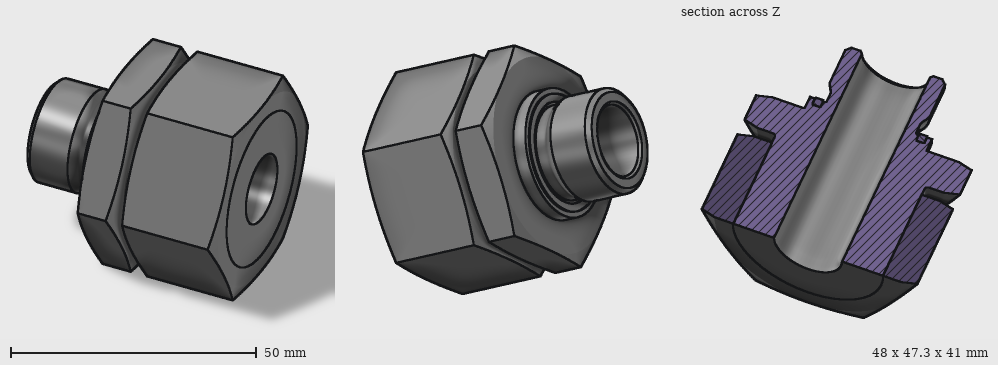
import cadquery as cq
import math

OVERALL_LENGTH = 48.0
ACROSS_FLATS = 41.0
HEX_CHAMFER_ANGLE = math.radians(15)
HEX_CORNER_RADIUS = ACROSS_FLATS / math.sqrt(3)
CONE_CLEARANCE = 0.5

BORE_RADIUS = 7.45
BORE_MOUTH_RADIUS = 8.0

STUD_RADIUS = 11.0
STUD_CHAMFER = 1.0
STUD_LENGTH = 9.5
RELIEF_RADIUS = 9.9
RELIEF_TAPER_ANGLE = math.radians(30)
RELIEF_BLEND_RADIUS = 0.95

COLLAR_RADIUS = 13.45
COLLAR_START = 14.0
HEX_START = 17.0
HEX_END = 25.0
NECK_RADIUS = 16.5
NECK_BLEND_RADIUS = 0.6

SEAT_RADIUS = 10.55
SEAT_CONE_START = 13.9
SEAT_CONE_LENGTH = 0.35

SEAL_OUTER_RADIUS = 12.25
SEAL_DEPTH = 1.5
SEAL_PROTRUSION = 0.3

NUT_START = 27.0


def cylinder_along_x(start, end, radius):
    """Plain cylinder between two X positions."""
    return cq.Workplane("YZ", origin=(start, 0, 0)).circle(radius).extrude(end - start)


def ring_along_x(start, end, outer_radius, inner_radius):
    """Plain ring between two X positions."""
    return cylinder_along_x(start, end, outer_radius).cut(cylinder_along_x(start, end, inner_radius))


def chamfered_hexagon(start, end):
    """Hexagon with corners on +Y and -Y, its corners coned off at both ends."""
    prism = (
        cq.Workplane("YZ", origin=(start, 0, 0))
        .polygon(6, 2 * HEX_CORNER_RADIUS)
        .extrude(end - start)
    )
    face_radius = ACROSS_FLATS / 2
    cone_radius = HEX_CORNER_RADIUS + CONE_CLEARANCE
    cone_length = (cone_radius - face_radius) * math.tan(HEX_CHAMFER_ANGLE)
    envelope = (
        cq.Workplane("XY")
        .moveTo(start, 0)
        .lineTo(start, face_radius)
        .lineTo(start + cone_length, cone_radius)
        .lineTo(end - cone_length, cone_radius)
        .lineTo(end, face_radius)
        .lineTo(end, 0)
        .close()
        .revolve(360, (0, 0, 0), (1, 0, 0))
    )
    return prism.intersect(envelope)


def make_stud():
    """Chamfered stud, its tapered relief and the seal seat, as far as the hexagon."""
    taper_length = (STUD_RADIUS - RELIEF_RADIUS) / math.tan(RELIEF_TAPER_ANGLE)
    relief_corner = STUD_LENGTH + taper_length
    tangent_length = RELIEF_BLEND_RADIUS * math.tan(RELIEF_TAPER_ANGLE / 2)
    blend_start_x = relief_corner - tangent_length * math.cos(RELIEF_TAPER_ANGLE)
    blend_start_radius = RELIEF_RADIUS + tangent_length * math.sin(RELIEF_TAPER_ANGLE)
    blend_end_x = relief_corner + tangent_length
    return (
        cq.Workplane("XY")
        .lineTo(0, STUD_RADIUS - STUD_CHAMFER)
        .lineTo(STUD_CHAMFER, STUD_RADIUS)
        .lineTo(STUD_LENGTH, STUD_RADIUS)
        .lineTo(blend_start_x, blend_start_radius)
        .radiusArc((blend_end_x, RELIEF_RADIUS), -RELIEF_BLEND_RADIUS)
        .lineTo(SEAT_CONE_START, RELIEF_RADIUS)
        .lineTo(SEAT_CONE_START + SEAT_CONE_LENGTH, SEAT_RADIUS)
        .lineTo(HEX_START, SEAT_RADIUS)
        .lineTo(HEX_START, 0)
        .close()
        .revolve(360, (0, 0, 0), (1, 0, 0))
    )


def make_collar():
    """Collar in front of the hexagon, with a groove in its face for the seal ring."""
    rim = ring_along_x(COLLAR_START, HEX_START, COLLAR_RADIUS, SEAL_OUTER_RADIUS)
    groove_floor = cylinder_along_x(COLLAR_START + SEAL_DEPTH, HEX_START, SEAL_OUTER_RADIUS)
    return rim.union(groove_floor)


def make_neck():
    """Cylinder that runs from the hexagon through the nut, blended into the hexagon face."""
    return (
        cq.Workplane("XY")
        .moveTo(HEX_END, 0)
        .lineTo(HEX_END, NECK_RADIUS + NECK_BLEND_RADIUS)
        .radiusArc((HEX_END + NECK_BLEND_RADIUS, NECK_RADIUS), -NECK_BLEND_RADIUS)
        .lineTo(OVERALL_LENGTH, NECK_RADIUS)
        .lineTo(OVERALL_LENGTH, 0)
        .close()
        .revolve(360, (0, 0, 0), (1, 0, 0))
    )


def make_bore():
    """Through bore with a 45 degree mouth at the stud end."""
    mouth_depth = BORE_MOUTH_RADIUS - BORE_RADIUS
    return (
        cq.Workplane("XY")
        .lineTo(0, BORE_MOUTH_RADIUS)
        .lineTo(mouth_depth, BORE_RADIUS)
        .lineTo(OVERALL_LENGTH, BORE_RADIUS)
        .lineTo(OVERALL_LENGTH, 0)
        .close()
        .revolve(360, (0, 0, 0), (1, 0, 0))
    )


def make_body():
    hexagon = chamfered_hexagon(HEX_START, HEX_END)
    return hexagon.union(make_collar()).union(make_stud()).union(make_neck()).cut(make_bore())


def make_seal_ring():
    return ring_along_x(
        COLLAR_START - SEAL_PROTRUSION,
        COLLAR_START + SEAL_DEPTH,
        SEAL_OUTER_RADIUS,
        SEAT_RADIUS,
    )


def make_nut():
    neck_hole = cylinder_along_x(NUT_START, OVERALL_LENGTH, NECK_RADIUS)
    return chamfered_hexagon(NUT_START, OVERALL_LENGTH).cut(neck_hole)


body = make_body()
seal_ring = make_seal_ring()
nut = make_nut()

result = cq.Compound.makeCompound([body.val(), seal_ring.val(), nut.val()])